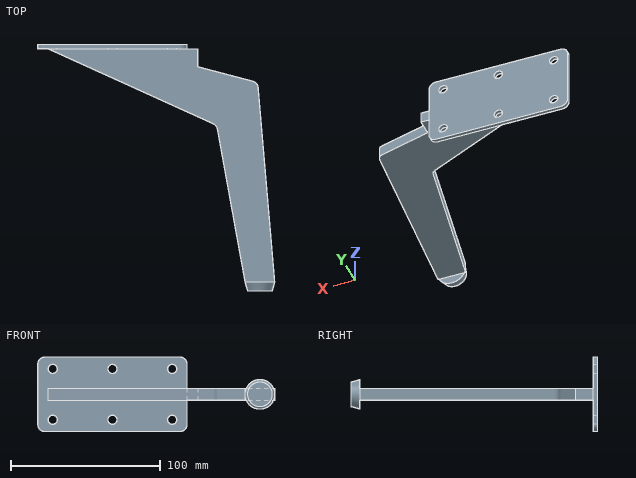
import cadquery as cq

plate_length = 100.0
plate_height = 50.0
plate_thickness = 3.0
plate_corner_radius = 5.0

hole_diameter = 6.0
hole_edge_distance = 10.0
hole_row_spacing = 34.0
hole_column_spacing = plate_length / 2 - hole_edge_distance

overall_length = 158.7
overall_depth = 165.1
foot_diameter = 20.0
foot_tip_diameter = 16.5
foot_height = 6.1
foot_center_x = overall_length - foot_diameter / 2
foot_base_y = foot_height - overall_depth

arm_thickness = 8.0
arm_start_x = 7.0
arm_step_x = 107.1
arm_step_y = -14.9
outer_bend = (147.3, -25.5)
inner_bend = (119.7, -54.2)
outer_bend_radius = 5.0
inner_bend_radius = 5.0


def make_plate():
    """Rounded rectangular plate with its screw holes."""
    plate = (
        cq.Workplane("XY")
        .box(plate_length, plate_thickness, plate_height)
        .edges("|Y")
        .fillet(plate_corner_radius)
    )
    plate = (
        plate.faces("<Y")
        .workplane(centerOption="CenterOfBoundBox")
        .rarray(hole_column_spacing, hole_row_spacing, 3, 2)
        .hole(hole_diameter)
    )
    return plate.translate((plate_length / 2, -plate_thickness / 2, 0))


def round_bend(arm, corner, radius):
    """Round the arm's upright edge at the given XY corner."""
    nearest = cq.selectors.NearestToPointSelector((*corner, 0))
    return arm.edges("|Z").edges(nearest).fillet(radius)


def make_arm():
    """Arm running from the plate, around the bend and down to the foot."""
    foot_left_x = foot_center_x - foot_diameter / 2
    outline = [
        (arm_start_x, -plate_thickness),
        (arm_step_x, -plate_thickness),
        (arm_step_x, arm_step_y),
        outer_bend,
        (overall_length, foot_base_y),
        (foot_left_x, foot_base_y),
        inner_bend,
    ]
    arm = cq.Workplane("XY").polyline(outline).close().extrude(arm_thickness / 2, both=True)
    arm = round_bend(arm, outer_bend, outer_bend_radius)
    return round_bend(arm, inner_bend, inner_bend_radius)


def make_foot():
    """Cone frustum narrowing away from the arm, along -Y."""
    return (
        cq.Workplane("XZ", origin=(foot_center_x, foot_base_y, 0))
        .circle(foot_diameter / 2)
        .workplane(offset=foot_height)
        .circle(foot_tip_diameter / 2)
        .loft(ruled=True)
    )


result = make_plate().union(make_arm()).union(make_foot())